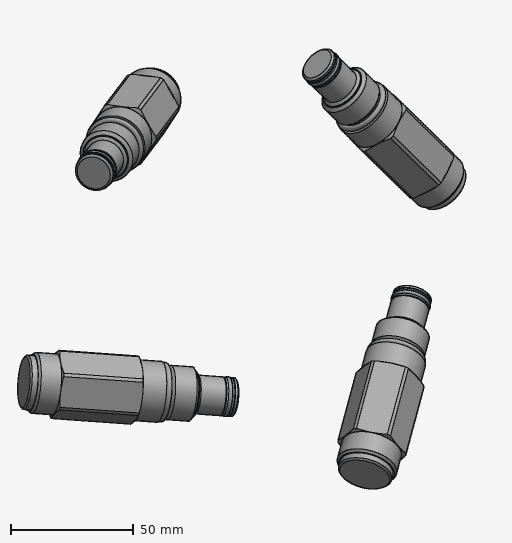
import cadquery as cq
import math

overall_length = 88.9
edge_break = 0.7

nose_radius = 8.0
nose_tip_radius = 7.0
collar_radius = 9.3
collar_start = 17.1
collar_end = 17.5
collar_bevel_angle = 35.0
score_depth = 0.13
score_width = 0.31
score_offset = 1.7

pilot_radius = 11.2
pilot_chamfer_end_radius = 9.7
pilot_start = 18.7
pilot_end = 27.75

barrel_radius = 12.5
barrel_start = 31.8
barrel_end = 84.75
cap_shoulder_radius = 11.7
cap_radius = 11.2
cap_start = 85.8

hex_sides = 6
across_flats = 25.4
corner_diameter = 28.55
corner_radius = corner_diameter / 2
hex_start = 41.7
hex_end = 76.2
hex_chamfer_radius = 12.6
hex_chamfer_length = 0.5

nose_seal_station = 3.65
nose_seal_outer_radius = 8.3
nose_seal_section = 0.9
main_seal_station = 30.4
main_seal_outer_radius = 12.3
main_seal_thickness = 2.4
main_seal_section = main_seal_thickness / 2

nose_groove_radius = nose_seal_outer_radius - 2 * nose_seal_section
main_groove_radius = main_seal_outer_radius - 2 * main_seal_section


def revolve_profile(points):
    """Turn a closed (radius, station) outline about the Y axis."""
    return cq.Workplane("XY").polyline(points).close().revolve(360, (0, 0, 0), (0, 1, 0))


def ring_cutter(start, end, floor_radius, top_radius):
    """Square-sided annulus used to cut a groove."""
    return revolve_profile([
        (floor_radius, start),
        (top_radius, start),
        (top_radius, end),
        (floor_radius, end),
    ])


def make_turned_body():
    """Stepped shaft from the nose to the cap, with the open main seal groove."""
    collar_bevel = collar_radius - nose_radius
    pilot_bevel = pilot_radius - main_groove_radius
    return revolve_profile([
        (0, 0),
        (nose_tip_radius, 0),
        (nose_radius, edge_break),
        (nose_radius, collar_start - collar_bevel * math.tan(math.radians(collar_bevel_angle))),
        (collar_radius, collar_start),
        (collar_radius, collar_end),
        (pilot_chamfer_end_radius, collar_end),
        (pilot_radius, pilot_start),
        (pilot_radius, pilot_end),
        (main_groove_radius, pilot_end + pilot_bevel),
        (main_groove_radius, barrel_start),
        (barrel_radius, barrel_start),
        (barrel_radius, barrel_end),
        (cap_shoulder_radius, cap_start),
        (cap_radius, cap_start),
        (cap_radius, overall_length - edge_break),
        (cap_radius - edge_break, overall_length),
        (0, overall_length),
    ])


def make_hexagon():
    """Hexagonal prism with rounded corners and chamfered ends."""
    across_corners = across_flats / math.cos(math.pi / hex_sides)
    prism = (
        cq.Workplane("XZ", origin=(0, hex_start, 0))
        .polygon(hex_sides, across_corners)
        .extrude(hex_start - hex_end)
    )
    envelope = revolve_profile([
        (0, hex_start),
        (hex_chamfer_radius, hex_start),
        (corner_radius, hex_start + hex_chamfer_length),
        (corner_radius, hex_end - hex_chamfer_length),
        (hex_chamfer_radius, hex_end),
        (0, hex_end),
    ])
    return prism.intersect(envelope)


def make_cartridge():
    """Turned body and hexagon, with the nose seal groove and its score lines."""
    body = make_turned_body().union(make_hexagon())
    body = body.cut(ring_cutter(
        nose_seal_station - nose_seal_section,
        nose_seal_station + nose_seal_section,
        nose_groove_radius,
        barrel_radius,
    ))
    for side in (-1, 1):
        near = nose_seal_station + side * score_offset
        far = near + side * score_width
        body = body.cut(ring_cutter(near, far, nose_radius - score_depth, pilot_radius))
    return body


def make_o_ring(station, outer_radius, section_radius):
    """Round-section ring seated on the floor of its groove."""
    return (
        cq.Workplane("XY")
        .center(outer_radius - section_radius, station)
        .circle(section_radius)
        .revolve(360, (section_radius - outer_radius, 0, 0), (section_radius - outer_radius, 1, 0))
    )


cartridge = make_cartridge()

seal_sizes = [
    (nose_seal_station, nose_seal_outer_radius, nose_seal_section),
    (main_seal_station, main_seal_outer_radius, main_seal_section),
]
o_rings = [make_o_ring(*size) for size in seal_sizes]

result = cq.Compound.makeCompound([cartridge.solids().val(), *[ring.val() for ring in o_rings]])